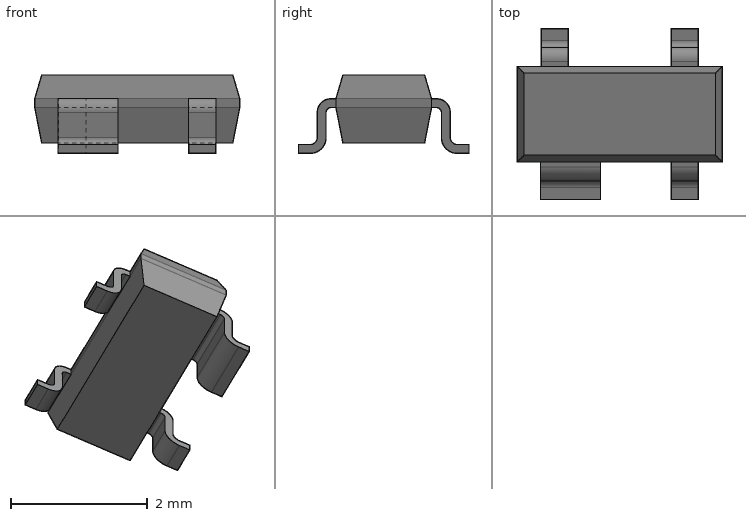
import cadquery as cq

BODY_LENGTH = 3.0
BODY_DEPTH = 1.4
BODY_BOTTOM = 0.15
BODY_TOP = 1.15
TAPER_INSET = 0.102

LEAD_SPAN = 2.5
LEAD_THICKNESS = 0.132
LEAD_TOP = 0.8
SHOULDER_LENGTH = 0.072
SHOULDER_INNER_RADIUS = 0.07
FOOT_INNER_RADIUS = 0.102
LEAD_WIDTH = 0.4
LEAD_OFFSET = 0.95
WIDE_LEAD_WIDTH = 0.88
WIDE_LEAD_OFFSET = 0.72

BAND_BOTTOM = LEAD_TOP - LEAD_THICKNESS
BODY_FACE = BODY_DEPTH / 2

NARROW_LEAD_PLACES = [
    (LEAD_OFFSET, -1),
    (-LEAD_OFFSET, 1),
    (LEAD_OFFSET, 1),
]


def make_tapered_half(start_z, end_z):
    """Loft from the full band outline to the inset outline."""
    return (
        cq.Workplane("XY", origin=(0, 0, start_z))
        .rect(BODY_LENGTH, BODY_DEPTH)
        .workplane(offset=end_z - start_z)
        .rect(BODY_LENGTH - 2 * TAPER_INSET, BODY_DEPTH - 2 * TAPER_INSET)
        .loft(ruled=True)
    )


def make_body():
    band = (
        cq.Workplane("XY", origin=(0, 0, BAND_BOTTOM))
        .rect(BODY_LENGTH, BODY_DEPTH)
        .extrude(LEAD_THICKNESS)
    )
    upper_half = make_tapered_half(LEAD_TOP, BODY_TOP)
    lower_half = make_tapered_half(BAND_BOTTOM, BODY_BOTTOM)
    return band.union(upper_half).union(lower_half)


def make_lead(x_center, width, side):
    """Extrude the bent strip profile across its width, from the body face to the toe."""
    shoulder_outer_radius = SHOULDER_INNER_RADIUS + LEAD_THICKNESS
    foot_outer_radius = FOOT_INNER_RADIUS + LEAD_THICKNESS
    shoulder_end = BODY_FACE + SHOULDER_LENGTH
    leg_inner = shoulder_end + SHOULDER_INNER_RADIUS
    leg_outer = leg_inner + LEAD_THICKNESS
    foot_start = leg_outer + FOOT_INNER_RADIUS
    toe = LEAD_SPAN / 2
    shoulder_center_z = BAND_BOTTOM - SHOULDER_INNER_RADIUS

    profile = (
        cq.Workplane("YZ", origin=(-width / 2, 0, 0))
        .moveTo(BODY_FACE, LEAD_TOP)
        .lineTo(shoulder_end, LEAD_TOP)
        .radiusArc((leg_outer, shoulder_center_z), shoulder_outer_radius)
        .lineTo(leg_outer, foot_outer_radius)
        .radiusArc((foot_start, LEAD_THICKNESS), -FOOT_INNER_RADIUS)
        .lineTo(toe, LEAD_THICKNESS)
        .lineTo(toe, 0)
        .lineTo(foot_start, 0)
        .radiusArc((leg_inner, foot_outer_radius), foot_outer_radius)
        .lineTo(leg_inner, shoulder_center_z)
        .radiusArc((shoulder_end, BAND_BOTTOM), -SHOULDER_INNER_RADIUS)
        .lineTo(BODY_FACE, BAND_BOTTOM)
        .close()
    )
    lead = profile.extrude(width)
    if side < 0:
        lead = lead.rotate((0, 0, 0), (0, 0, 1), 180)
    return lead.translate((x_center, 0, 0))


body = make_body()
wide_lead = make_lead(-WIDE_LEAD_OFFSET, WIDE_LEAD_WIDTH, -1)
narrow_leads = [
    make_lead(x_center, LEAD_WIDTH, side).val()
    for x_center, side in NARROW_LEAD_PLACES
]

result = cq.Compound.makeCompound([body.val(), wide_lead.val(), *narrow_leads])